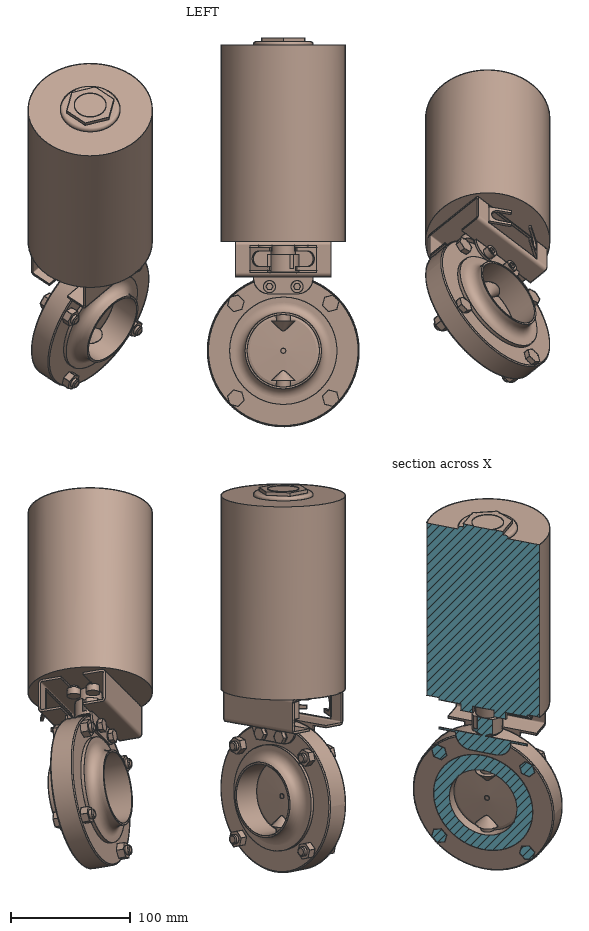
import cadquery as cq
import math


total_height = 324.5

body_dia = 127.0
body_width = 20.0
body_chamfer = 1.0
boss_dia = 89.5
boss_face_x = 13.0
pipe_dia = 63.5
bore_dia = 60.5
pipe_length = 50.0
pipe_flare_radius = 8.0

disc_face_dia = 55.8
disc_edge_half = 0.5
disc_rim_half = 1.3
disc_center_half = 2.0
disc_pin_dia = 4.2
disc_pin_depth = 0.5
hub_dia = 20.0
hub_tip_z = 15.0
hub_base_z = 25.0
journal_dia = 12.0

actuator_dia = 104.0
actuator_bottom_z = 91.2
cap_dia = 50.0
cap_height = 3.0
cap_fillet = 2.5
cap_hex_corners = 41.5
cap_hex_height = 3.0
cap_recess_dia = 26.5
cap_recess_depth = 0.3

sheet = 2.0
bracket_width_x = 60.5
bracket_length_y = 79.8
bracket_bottom_z = 61.5
bracket_bend = 3.2
tab_width = 50.0
tab_bottom_z = 47.5
tab_corner = 13.5
window_width = 55.8
window_bottom_z = 65.2

flap_bottom_z = 67.2
flap_top_z = 86.3
flap_reach_x = 10.0
flap_reach_y = 16.5
slot_height = 13.0
slot_offset = 2.3

shaft_dia = 20.0
shaft_overlap = 3.2
coupling_dia = 26.5
coupling_bottom_z = 66.0
coupling_top_z = 80.5
coupling_groove_width = 3.2
coupling_groove_bottom_z = 68.8
coupling_corner_x = 10.0
coupling_corner_y = 5.5
collar_dia = 23.5
collar_foot_dia = 20.0

mount_bolt_circle = 34.5
mount_head_dia = 11.5
mount_shank_dia = 8.5
mount_head_bottom_z = 83.0

clamp_bolt_pitch = 79.2
clamp_hex_corners = 14.3
clamp_head_height = 4.5
clamp_nut_height = 6.5
clamp_stud_dia = 8.0
clamp_stud_length = 3.5
clamp_stud_chamfer = 1.0
clamp_hex_turn = 15.0

tab_bolt_pitch = 23.0
tab_bolt_z = 53.5
tab_head_dia = 10.0
tab_head_height = 5.5
tab_socket_corners = 6.0
tab_socket_depth = 2.5
tab_washer_dia = 8.5
tab_washer_height = 1.0
tab_nut_corners = 11.5
tab_nut_height = 4.5

body_radius = body_dia / 2
top_z = total_height - body_radius
cap_top_z = top_z - cap_hex_height
actuator_top_z = cap_top_z - cap_height
face_x = body_width / 2
tab_face_x = face_x + sheet
wall_x = bracket_width_x / 2
plate_bottom_z = actuator_bottom_z - sheet
window_top_z = actuator_bottom_z - bracket_bend


def cylinder_x(diameter, x_start, x_end, y=0.0, z=0.0):
    """Round bar along X between two X positions."""
    plane = cq.Workplane("YZ", origin=(x_start, y, z))
    return plane.circle(diameter / 2).extrude(x_end - x_start)


def cylinder_z(diameter, z_start, z_end, x=0.0, y=0.0):
    """Round bar along Z between two Z positions."""
    plane = cq.Workplane("XY", origin=(x, y, z_start))
    return plane.circle(diameter / 2).extrude(z_end - z_start)


def hex_x(corners, x_start, x_end, y, z, turn=0.0):
    """Hexagonal bar along X, turned about its own axis by an angle in degrees."""
    prism = cq.Workplane("YZ", origin=(x_start, 0, 0)).polygon(6, corners).extrude(x_end - x_start)
    return prism.rotate((0, 0, 0), (1, 0, 0), turn).translate((0, y, z))


def box_between(x0, x1, y0, y1, z0, z1):
    """Box given by its limits along each axis."""
    return cq.Workplane("XY").box(x1 - x0, y1 - y0, z1 - z0, centered=False).translate((x0, y0, z0))


def make_pipe_end():
    """Weld end on the +X side, flaring out to the raised boss of the flange."""
    pipe_radius = pipe_dia / 2
    flare_top = pipe_radius + pipe_flare_radius
    flare_end_x = boss_face_x + pipe_flare_radius
    mid = pipe_flare_radius * math.sqrt(0.5)
    profile = (
        cq.Workplane("XY")
        .moveTo(0, 0)
        .lineTo(0, boss_dia / 2)
        .lineTo(boss_face_x, boss_dia / 2)
        .lineTo(boss_face_x, flare_top)
        .threePointArc((flare_end_x - mid, flare_top - mid), (flare_end_x, pipe_radius))
        .lineTo(pipe_length / 2, pipe_radius)
        .lineTo(pipe_length / 2, 0)
        .close()
    )
    return profile.revolve(360, (0, 0, 0), (1, 0, 0))


def make_valve_body():
    """Round body with a weld end on both sides and a through bore."""
    body = cylinder_x(body_dia, -face_x, face_x).edges().chamfer(body_chamfer)
    pipe_end = make_pipe_end()
    body = body.union(pipe_end).union(pipe_end.mirror("YZ"))
    return body.cut(cylinder_x(bore_dia, -pipe_length, pipe_length))


def make_valve_disc():
    """Closed butterfly disc with conical shaft hubs at top and bottom."""
    bore_radius = bore_dia / 2
    face_radius = disc_face_dia / 2
    half = (
        cq.Workplane("XY")
        .polyline(
            [
                (0, 0),
                (0, bore_radius),
                (disc_edge_half, bore_radius),
                (disc_rim_half, face_radius),
                (disc_center_half, 0),
            ]
        )
        .close()
        .revolve(360, (0, 0, 0), (1, 0, 0))
    )
    disc = half.union(half.mirror("YZ"))
    hub = (
        cq.Workplane("XZ")
        .polyline(
            [
                (0, hub_tip_z),
                (hub_dia / 2, hub_base_z),
                (journal_dia / 2, hub_base_z),
                (journal_dia / 2, bore_radius),
                (0, bore_radius),
            ]
        )
        .close()
        .revolve(360, (0, 0, 0), (0, 1, 0))
    )
    disc = disc.union(hub).union(hub.mirror("XY"))
    dimple_bottom = disc_center_half - disc_pin_depth
    for side in (-1, 1):
        disc = disc.cut(cylinder_x(disc_pin_dia, side * dimple_bottom, side * body_width))
    return disc


def make_actuator():
    """Actuator cylinder with a rounded cap and a hexagon on top."""
    actuator = cylinder_z(actuator_dia, actuator_bottom_z, actuator_top_z)
    cap = cylinder_z(cap_dia, actuator_top_z, cap_top_z).faces(">Z").edges().fillet(cap_fillet)
    hexagon = cq.Workplane("XY", origin=(0, 0, cap_top_z)).polygon(6, cap_hex_corners).extrude(cap_hex_height)
    recess = cylinder_z(cap_recess_dia, top_z - cap_recess_depth, top_z)
    return actuator.union(cap).union(hexagon).cut(recess)


def make_bracket():
    """Folded sheet bracket: rectangular tube, split at the bottom into two tabs."""
    half_y = bracket_length_y / 2
    tube = box_between(-wall_x, wall_x, -half_y, half_y, bracket_bottom_z, actuator_bottom_z)
    tube = tube.edges("|Y").fillet(bracket_bend)
    hollow = box_between(
        sheet - wall_x, wall_x - sheet, -half_y, half_y, bracket_bottom_z + sheet, plate_bottom_z
    )
    hollow = hollow.edges("|Y").fillet(bracket_bend - sheet)
    gap = box_between(-face_x, face_x, -half_y, half_y, bracket_bottom_z, bracket_bottom_z + sheet)
    bracket = tube.cut(hollow).cut(gap)

    slot = box_between(-shaft_dia / 2, shaft_dia / 2, -half_y, 0, plate_bottom_z, actuator_bottom_z)
    bracket = bracket.cut(slot)

    half_window = window_width / 2
    window = box_between(-wall_x, sheet - wall_x, -half_window, half_window, window_bottom_z, window_top_z)
    bracket = bracket.cut(window)

    tab_top_z = bracket_bottom_z + sheet
    tab = box_between(face_x, tab_face_x, -tab_width / 2, tab_width / 2, tab_bottom_z, tab_top_z)
    tab = tab.faces("<Z").edges("|X").fillet(tab_corner)
    return bracket.union(tab).union(tab.mirror("YZ"))


def make_flap():
    """Flap hinged at the +Y edge of the window, bent outward, with a round-ended notch."""
    length = math.hypot(flap_reach_x, flap_reach_y)
    height = flap_top_z - flap_bottom_z
    middle_z = (flap_top_z + flap_bottom_z) / 2
    plate = box_between(0, sheet, -length, sheet, -height / 2, height / 2)
    round_y = -slot_offset - slot_height / 2
    notch = cylinder_x(slot_height, 0, sheet, y=round_y)
    notch = notch.union(box_between(0, sheet, -length, round_y, -slot_height / 2, slot_height / 2))
    bend = math.degrees(math.atan2(flap_reach_x, flap_reach_y))
    flap = plate.cut(notch).rotate((0, 0, 0), (0, 0, 1), -bend)
    return flap.translate((-wall_x, window_width / 2, middle_z))


def make_shaft():
    """Shaft between body and actuator with its grooved coupling."""
    shaft = cylinder_z(shaft_dia, body_radius - shaft_overlap, actuator_bottom_z)
    coupling = cylinder_z(coupling_dia, coupling_bottom_z, coupling_top_z)
    radius = coupling_dia / 2
    half_groove = coupling_groove_width / 2
    groove = box_between(
        -half_groove, half_groove, -radius, -shaft_dia / 2, coupling_groove_bottom_z, coupling_top_z
    )
    coupling = coupling.cut(groove)
    corner = box_between(
        -radius, -coupling_corner_x, -radius, -coupling_corner_y, coupling_groove_bottom_z, coupling_top_z
    )
    coupling = coupling.cut(corner).cut(corner.mirror("YZ"))
    notch = box_between(-radius, 0, shaft_dia / 2, radius, coupling_bottom_z, coupling_top_z)
    collar_height = coupling_bottom_z - body_radius
    collar = (
        cq.Workplane("XY", origin=(0, 0, body_radius))
        .circle(collar_foot_dia / 2)
        .workplane(offset=collar_height)
        .circle(collar_dia / 2)
        .loft()
    )
    return shaft.union(coupling.cut(notch)).union(collar)


def make_mount_bolt(angle):
    """Screw that holds the bracket to the underside of the actuator."""
    x = mount_bolt_circle / 2 * math.cos(math.radians(angle))
    y = mount_bolt_circle / 2 * math.sin(math.radians(angle))
    head = cylinder_z(mount_head_dia, mount_head_bottom_z, plate_bottom_z, x, y)
    return head.union(cylinder_z(mount_shank_dia, plate_bottom_z, actuator_bottom_z, x, y))


def make_clamp_bolt(y, z):
    """Hexagon bolt through the body: head on -X, nut and stud end on +X."""
    turn = -math.copysign(clamp_hex_turn, z)
    nut_end = face_x + clamp_nut_height
    head = hex_x(clamp_hex_corners, -face_x - clamp_head_height, -face_x, y, z, turn)
    nut = hex_x(clamp_hex_corners, face_x, nut_end, y, z, turn)
    stud = cylinder_x(clamp_stud_dia, face_x, nut_end + clamp_stud_length, y, z)
    stud = stud.faces(">X").edges().chamfer(clamp_stud_chamfer)
    return head.union(nut).union(stud)


def make_tab_bolt(y):
    """Socket screw through the bracket tabs: head on -X, washer and nut on +X."""
    head_end = -tab_face_x - tab_head_height
    nut_start = tab_face_x + tab_washer_height
    head = cylinder_x(tab_head_dia, head_end, -tab_face_x, y, tab_bolt_z)
    socket = hex_x(tab_socket_corners, head_end, head_end + tab_socket_depth, y, tab_bolt_z)
    washer = cylinder_x(tab_washer_dia, tab_face_x, nut_start, y, tab_bolt_z)
    nut = hex_x(tab_nut_corners, nut_start, nut_start + tab_nut_height, y, tab_bolt_z)
    return head.cut(socket).union(washer).union(nut)


result = make_valve_body().union(make_valve_disc())
result = result.union(make_actuator()).union(make_bracket()).union(make_shaft())

flap = make_flap()
result = result.union(flap).union(flap.mirror("XZ"))

for bolt_angle in (60, 120, 240, 300):
    result = result.union(make_mount_bolt(bolt_angle))

for side_y in (-1, 1):
    result = result.union(make_tab_bolt(side_y * tab_bolt_pitch / 2))
    for side_z in (-1, 1):
        bolt_y = side_y * clamp_bolt_pitch / 2
        bolt_z = side_z * clamp_bolt_pitch / 2
        result = result.union(make_clamp_bolt(bolt_y, bolt_z))